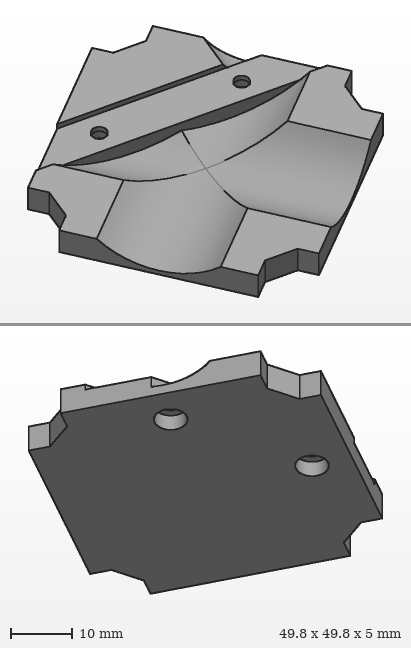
import cadquery as cq
import math

side = 49.8
thickness = 5
corner_cutout = 7.85
corner_step = 3.65

channel_radius = 15.95
channel_half_width = 10.6

seat_center = 12.5
seat_width = 7.95
seat_depth = 1.05
seat_inner = seat_center - seat_width / 2
seat_outer = seat_center + seat_width / 2

hole_diameter = 2.8
hole_spacing = 26.05
counterbore_diameter = 5.5
counterbore_depth = 2.95

corner_groove_radius = 6.7
corner_groove_half_width = 5.75
corner_groove_edge = 11.65
corner_groove_axis = corner_groove_edge + corner_groove_half_width

half = side / 2
reach = 2 * side


def corner_cutter():
    """Cutout of the (+X, +Y) corner."""
    inner = half - corner_cutout
    shoulder = half - corner_step
    points = [(inner, half), (inner, shoulder), (shoulder, inner), (half, inner), (half, half)]
    return cq.Workplane("XY").polyline(points).close().extrude(thickness)


def channel(radius, half_width, angle, offset=0):
    """Cylinder along X that opens 2 * half_width at the top face, shifted sideways and turned about Z."""
    axis_height = thickness + math.sqrt(radius**2 - half_width**2)
    cylinder = cq.Workplane("YZ").center(offset, axis_height).circle(radius)
    return cylinder.extrude(reach / 2, both=True).rotate((0, 0, 0), (0, 0, 1), angle)


def diagonal_slab(start, end, bottom, top):
    """Slab across the (-X, +Y) diagonal between two distances from the plate center."""
    slab = cq.Workplane("XY").box(reach, end - start, top - bottom, centered=(True, False, False))
    return slab.translate((0, start, bottom)).rotate((0, 0, 0), (0, 0, 1), 45)


plate = cq.Workplane("XY").rect(side, side).extrude(thickness)
for turn in range(4):
    plate = plate.cut(corner_cutter().rotate((0, 0, 0), (0, 0, 1), 90 * turn))

inner_side = diagonal_slab(-side, seat_inner, 0, thickness)
crossing_channels = channel(channel_radius, channel_half_width, 0)
crossing_channels = crossing_channels.union(channel(channel_radius, channel_half_width, 90))
plate = plate.cut(crossing_channels.intersect(inner_side))

plate = plate.cut(diagonal_slab(seat_inner, seat_outer, thickness - seat_depth, thickness))

outer_side = diagonal_slab(seat_outer, side, 0, thickness)
corner_groove = channel(corner_groove_radius, corner_groove_half_width, 135, -corner_groove_axis)
plate = plate.cut(corner_groove.intersect(outer_side))

for along in (-hole_spacing / 2, hole_spacing / 2):
    center = cq.Workplane("XY").center(along, seat_center)
    hole = center.circle(hole_diameter / 2).extrude(thickness)
    counterbore = center.circle(counterbore_diameter / 2).extrude(counterbore_depth)
    plate = plate.cut(hole.union(counterbore).rotate((0, 0, 0), (0, 0, 1), 45))

result = plate